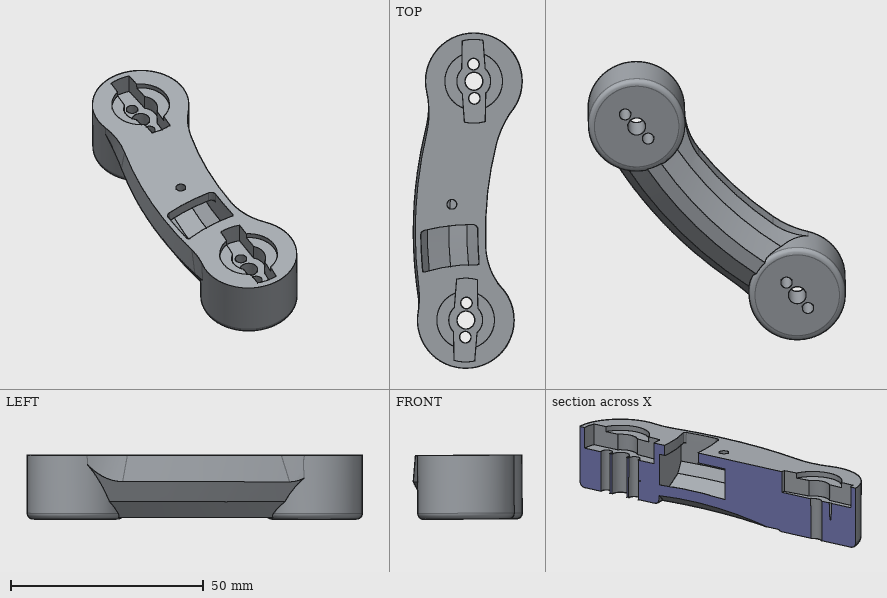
import cadquery as cq
import math

lean = 0.4

boss_height = 16.65
boss_radius = 12.55
lower_boss = (-0.5, -31.0)
upper_boss = (1.6, 31.0)
boss_bottom_fillet = 1.6

pivot = (97.6, -8.1)
inner_radius = 93.0
outer_top_radius = 111.2
outer_max_radius = 111.8
flange_depth = 6.8
crease_depth = 12.0
crease_inset = 2.6
arm_depth = 16.2
bottom_inset = 7.5
arm_half_angle = 25.0

outer_upper_blend = 22.7
outer_lower_blend = 19.2
inner_upper_blend = 26.15
inner_lower_blend = 17.4

ring_diameter = 15.0
ring_depth = 1.4
hub_diameter = 8.8
horn_depth = 5.7
horn_tip_radius = 10.9
horn_tip_half_width = 2.7
horn_root_half_width = 3.05
horn_root_offset = 3.2
shaft_hole_diameter = 4.6
screw_hole_diameter = 3.0
screw_hole_offset = 4.45
lower_horn_turn = -1.9
upper_horn_turn = 1.5

plate_thickness = 2.9
window_outer_radius = 109.8
window_inner_radius = 95.0
cavity_half_angle = 6.0
cavity_section = [
    (window_inner_radius, -plate_thickness),
    (window_inner_radius, -7.7),
    (97.9, -11.0),
    (102.6, -13.6),
    (108.2, -11.0),
    (window_outer_radius, -8.1),
    (window_outer_radius, -plate_thickness),
]
window_bow_centre = (1.3, -58.4)
window_far_radius = 52.2
window_near_radius = 41.75
window_far_fillet = 1.3
window_near_fillet = 0.5
pilot_diameter = 2.5
pilot_place = (-4.1, -1.0)


def polar(centre, radius, angle):
    return (centre[0] + radius * math.cos(angle), centre[1] + radius * math.sin(angle))


def direction(start, end):
    return math.atan2(end[1] - start[1], end[0] - start[0])


def blend_arc(boss, edge_radius, blend, centre_radius):
    """Start, middle and end of the blend from a boss to an arm edge about the pivot."""
    span = math.dist(pivot, boss)
    cosine = (span**2 + centre_radius**2 - (boss_radius + blend) ** 2) / (2 * span * centre_radius)
    turn = math.copysign(math.acos(cosine), boss[1])
    centre = polar(pivot, centre_radius, direction(pivot, boss) + turn)
    on_boss = polar(centre, blend, direction(centre, boss))
    on_arm = polar(pivot, edge_radius, direction(pivot, centre))
    chord_middle = ((on_boss[0] + on_arm[0]) / 2, (on_boss[1] + on_arm[1]) / 2)
    return on_boss, polar(centre, blend, direction(centre, chord_middle)), on_arm


def outer_blend(boss, radius, blend):
    return blend_arc(boss, radius, blend, radius + blend)


def inner_blend(boss, blend):
    return blend_arc(boss, inner_radius, blend, inner_radius - blend)


def arm_outline(outer_radius, depth):
    """Closed outline of the bent arm, running through both boss centres."""
    upper_outer = outer_blend(upper_boss, outer_radius, outer_upper_blend)
    lower_outer = outer_blend(lower_boss, outer_radius, outer_lower_blend)
    lower_inner = inner_blend(lower_boss, inner_lower_blend)
    upper_inner = inner_blend(upper_boss, inner_upper_blend)
    outer_middle = (pivot[0] - outer_radius, pivot[1])
    inner_middle = (pivot[0] - inner_radius, pivot[1])
    outline = (
        cq.Workplane("XY", origin=(0, 0, -depth))
        .moveTo(*upper_boss)
        .lineTo(*upper_outer[0])
        .threePointArc(*upper_outer[1:])
        .threePointArc(outer_middle, lower_outer[2])
        .threePointArc(lower_outer[1], lower_outer[0])
        .lineTo(*lower_boss)
        .lineTo(*lower_inner[0])
        .threePointArc(*lower_inner[1:])
        .threePointArc(inner_middle, upper_inner[2])
        .threePointArc(upper_inner[1], upper_inner[0])
        .close()
    )
    return outline.val()


def ring_about_pivot(section, half_angle):
    """Revolve a (radius, z) section about the pivot, evenly to both sides of the -X direction."""
    return (
        cq.Workplane("XZ")
        .polyline(section)
        .close()
        .revolve(2 * half_angle, (0, 0), (0, 1))
        .rotate((0, 0, 0), (0, 0, 1), 180 - half_angle)
        .translate((*pivot, 0))
    )


def make_arm():
    flare = (outer_max_radius - outer_top_radius) / flange_depth
    outer_bottom_radius = outer_top_radius + flare * arm_depth
    outlines = [arm_outline(outer_top_radius, 0), arm_outline(outer_bottom_radius, arm_depth)]
    flared = cq.Workplane(cq.Solid.makeLoft(outlines, True))

    chamfer_slope = crease_inset / (crease_depth - flange_depth)
    chamfer_reach = chamfer_slope * flange_depth
    chamfered = [
        (outer_max_radius + chamfer_reach, 0),
        (outer_max_radius - crease_inset, -crease_depth),
        (outer_max_radius - bottom_inset, -arm_depth),
        (inner_radius + bottom_inset, -arm_depth),
        (inner_radius + crease_inset, -crease_depth),
        (inner_radius - chamfer_reach, 0),
    ]
    return flared.intersect(ring_about_pivot(chamfered, arm_half_angle))


def make_boss(place):
    boss = cq.Workplane("XY").center(*place).circle(boss_radius).extrude(-boss_height)
    return boss.faces("<Z").edges().fillet(boss_bottom_fillet)


def make_hole(place, diameter, depth):
    return cq.Workplane("XY").center(*place).circle(diameter / 2).extrude(-depth)


def make_horn_recess(place, turn):
    tip = math.sqrt(horn_tip_radius**2 - horn_tip_half_width**2)
    recess = (
        cq.Workplane("XY")
        .moveTo(-horn_tip_half_width, tip)
        .threePointArc((0, horn_tip_radius), (horn_tip_half_width, tip))
        .lineTo(horn_root_half_width, horn_root_offset)
        .lineTo(horn_root_half_width, -horn_root_offset)
        .lineTo(horn_tip_half_width, -tip)
        .threePointArc((0, -horn_tip_radius), (-horn_tip_half_width, -tip))
        .lineTo(-horn_root_half_width, -horn_root_offset)
        .lineTo(-horn_root_half_width, horn_root_offset)
        .close()
        .extrude(-horn_depth)
    )
    centre = (0, 0)
    recess = recess.union(make_hole(centre, hub_diameter, horn_depth))
    recess = recess.union(make_hole(centre, ring_diameter, ring_depth))
    recess = recess.union(make_hole(centre, shaft_hole_diameter, boss_height))
    for offset in (-screw_hole_offset, screw_hole_offset):
        recess = recess.union(make_hole((0, offset), screw_hole_diameter, boss_height))
    return recess.rotate((0, 0, 0), (0, 0, 1), turn).translate((*place, 0))


def make_window():
    bow = (
        cq.Workplane("XY")
        .center(*window_bow_centre)
        .circle(window_far_radius)
        .circle(window_near_radius)
        .extrude(-plate_thickness)
    )
    sides = [
        (window_inner_radius, 0),
        (window_outer_radius, 0),
        (window_outer_radius, -plate_thickness),
        (window_inner_radius, -plate_thickness),
    ]
    window = bow.intersect(ring_about_pivot(sides, arm_half_angle))
    window = window.edges("|Z").edges(">>Y[-1] or >>Y[-2]").fillet(window_far_fillet)
    return window.edges("|Z").edges("<<Y[-1] or <<Y[-2]").fillet(window_near_fillet)


body = make_arm().union(make_boss(lower_boss)).union(make_boss(upper_boss))
body = body.cut(make_horn_recess(lower_boss, lower_horn_turn))
body = body.cut(make_horn_recess(upper_boss, upper_horn_turn))
body = body.cut(ring_about_pivot(cavity_section, cavity_half_angle))
body = body.cut(make_window())
body = body.cut(make_hole(pilot_place, pilot_diameter, plate_thickness))
result = body.rotate((0, 0, 0), (0, 1, 0), -lean)